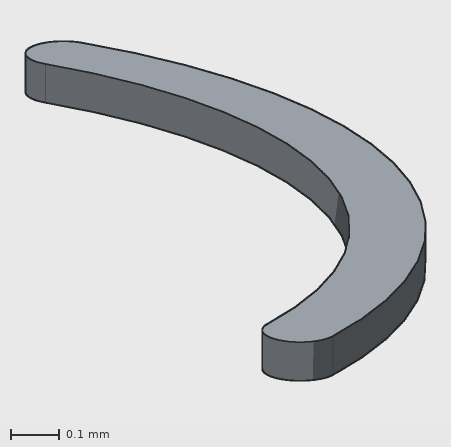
import cadquery as cq
import math

length = 2.03
depth = 0.56
width = 0.158
thickness = 0.085
turn = -0.3
rise = 0.1

end_radius = width / 2
half_chord = length / 2 - end_radius
end_drop = half_chord * math.sin(math.radians(-turn))
sagitta = depth - width - end_drop
mid_radius = (half_chord**2 + sagitta**2) / (2 * sagitta)
half_angle = math.asin(half_chord / mid_radius)


def on_arc(radius, angle):
    """Point at an angle from the +Y axis, positive toward +X."""
    return (radius * math.sin(angle), radius * math.cos(angle))


outer_radius = mid_radius + end_radius
inner_radius = mid_radius - end_radius
cap_radius = math.hypot(mid_radius, end_radius)
cap_angle = half_angle + math.atan(end_radius / mid_radius)

band = (
    cq.Workplane("XY")
    .moveTo(*on_arc(outer_radius, -half_angle))
    .threePointArc(on_arc(outer_radius, 0), on_arc(outer_radius, half_angle))
    .threePointArc(on_arc(cap_radius, cap_angle), on_arc(inner_radius, half_angle))
    .threePointArc(on_arc(inner_radius, 0), on_arc(inner_radius, -half_angle))
    .threePointArc(on_arc(cap_radius, -cap_angle), on_arc(outer_radius, -half_angle))
    .close()
    .extrude(thickness)
)

origin = (0, 0, 0)
result = band.rotate(origin, (0, 0, 1), turn).rotate(origin, (0, 1, 0), -rise)